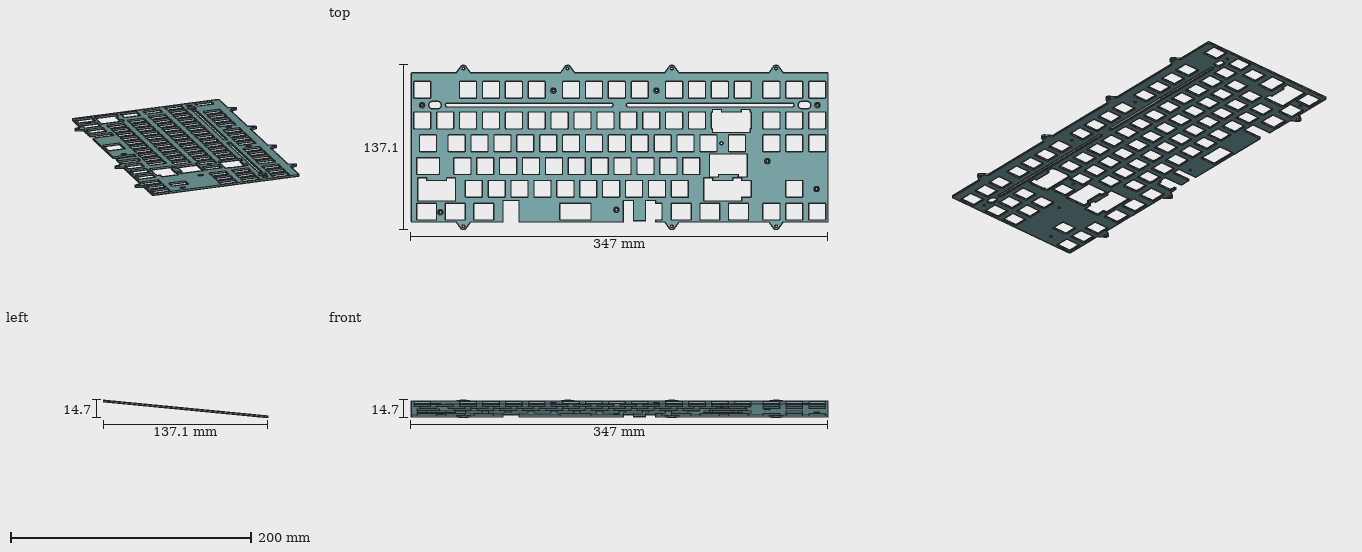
import cadquery as cq
import math


plate_width = 347.0
plate_depth = 125.0
thickness = 1.5
tilt_angle = 5.5
corner_radius = 1.0
cut_height = 3 * thickness

first_column = 0.5
last_column = 17.75
key_span = 328.7
key_pitch = key_span / (last_column - first_column)
first_key_x = -key_span / 2
bridge_half_width = 2.55
switch_size = key_pitch - 2 * bridge_half_width
switch_corner_radius = 0.5

tab_row = 3.5
number_row = tab_row + key_pitch
home_row = tab_row - key_pitch
shift_row = home_row - key_pitch
space_row = shift_row - key_pitch
function_row_gap = 25.7
function_row = number_row + function_row_gap

navigation_columns = [15.75, 16.75, 17.75]


def columns(first, count):
    return [first + i for i in range(count)]


stabilizer_half_width = 15.5
stabilizer_tab_half_width = 8.5
stabilizer_lip = 2.2
stabilizer_near = switch_size / 2 + stabilizer_lip
stabilizer_far = 10.0

short_space_column = 6.875
long_space_column = 7.5
short_space_reach = 2.625
long_space_reach = 3.0
notch_half_width = 4.0
last_notch_shift = 0.52
joined_modifier_column = 10.625
tongue_setback = 1.0

slot_line = 35.5
long_slot_x = 75.5
long_slot_length = 139.5
long_slot_width = 3.0
short_slot_x = 153.8
short_slot_length = 10.5
short_slot_width = 6.2

ear_spacing = 86.8
ear_hole_offset = 3.5
ear_radius = 2.8
ear_root_half_width = 6.0
ear_hole_diameter = 2.2
ear_overlap = 1.7

screw_hole_diameter = 2.2
screw_head_diameter = 4.5
screw_head_angle = 90
screw_places = [
    (-55.2, 47.5),
    (30.5, 47.5),
    (-164.5, slot_line),
    (164.5, slot_line),
    (-149.3, -54.0),
    (-2.8, -52.0),
    (123.0, -11.5),
    (164.0, -34.7),
]
plain_hole_diameter = 2.6
plain_hole_place = (84.7, tab_row)


def column_x(column):
    return first_key_x + (column - first_column) * key_pitch


def block(x_min, x_max, y_min, y_max):
    """Box through the sheet, given by its limits in the flat layout."""
    return (
        cq.Workplane("XY")
        .box(x_max - x_min, y_max - y_min, cut_height)
        .translate(((x_min + x_max) / 2, (y_min + y_max) / 2, 0))
    )


def switch_opening(column, row, last=None):
    """Opening for a switch that may sit anywhere from one column to the last one."""
    half = switch_size / 2
    end = column if last is None else last
    opening = block(column_x(column) - half, column_x(end) + half, row - half, row + half)
    return opening.edges("|Z").fillet(switch_corner_radius)


def stabilizer_opening(column, row, flipped=False):
    """Wide-key opening: a rectangle with a tab reaching in to the edge of the switch."""
    x = column_x(column)
    opening = block(
        x - stabilizer_half_width, x + stabilizer_half_width, row - stabilizer_far, row + stabilizer_near
    )
    tab = block(
        x - stabilizer_tab_half_width,
        x + stabilizer_tab_half_width,
        row + switch_size / 2,
        row + stabilizer_near,
    )
    opening = opening.cut(tab)
    if flipped:
        opening = opening.rotate((x, row, 0), (x, row, 1), 180)
    return opening


def space_notch(column):
    """Spacebar stabilizer notch, open at the front edge."""
    x = column_x(column)
    return block(x - notch_half_width, x + notch_half_width, -plate_depth, space_row + stabilizer_near)


def ear(x, side):
    """Tapered round-nosed ear on the rear (side = 1) or front (side = -1) edge."""
    edge = plate_depth / 2
    nose_y = edge + ear_hole_offset
    root_distance = math.hypot(ear_root_half_width, ear_hole_offset)
    root_angle = math.atan2(-ear_hole_offset, ear_root_half_width)
    tangent_angle = root_angle + math.acos(ear_radius / root_distance)
    tangent_x = ear_radius * math.cos(tangent_angle)
    tangent_y = nose_y + ear_radius * math.sin(tangent_angle)
    body = (
        cq.Workplane("XY")
        .moveTo(-ear_root_half_width, edge - ear_overlap)
        .lineTo(-ear_root_half_width, edge)
        .lineTo(-tangent_x, tangent_y)
        .threePointArc((0, nose_y + ear_radius), (tangent_x, tangent_y))
        .lineTo(ear_root_half_width, edge)
        .lineTo(ear_root_half_width, edge - ear_overlap)
        .close()
        .extrude(thickness / 2, both=True)
    )
    hole = cq.Workplane("XY").center(0, nose_y).circle(ear_hole_diameter / 2).extrude(thickness, both=True)
    body = body.cut(hole)
    if side < 0:
        body = body.mirror("XZ")
    return body.translate((x, 0, 0))


plate = cq.Workplane("XY").box(plate_width, plate_depth, thickness).edges("|Z").fillet(corner_radius)

rear_ears = [-1.5, -0.5, 0.5, 1.5]
front_ears = [-1.5, 0.5, 1.5]
for step in rear_ears:
    plate = plate.union(ear(step * ear_spacing, 1))
for step in front_ears:
    plate = plate.union(ear(step * ear_spacing, -1))

rows = [
    (function_row, [0.5] + columns(2.5, 4) + columns(7.0, 4) + columns(11.5, 4) + navigation_columns),
    (number_row, columns(0.5, 13) + navigation_columns),
    (tab_row, [0.75] + columns(2.0, 12) + [14.25] + navigation_columns),
    (home_row, columns(2.25, 11)),
    (shift_row, columns(2.75, 10) + [16.75]),
    (space_row, navigation_columns),
]
openings = [switch_opening(column, row) for row, row_columns in rows for column in row_columns]

openings.append(switch_opening(0.625, home_row, 0.875))
modifier_columns = [
    (0.625, 0.75),
    (1.875, 2.0),
    (3.125, 3.25),
    (short_space_column, long_space_column),
    (11.75, 11.875),
    (13.0, 13.125),
    (14.25, 14.375),
]
for first, last in modifier_columns:
    openings.append(switch_opening(first, space_row, last))

openings.append(stabilizer_opening(14.0, number_row))
openings.append(switch_opening(13.5, number_row, 14.5))
openings.append(stabilizer_opening(13.875, home_row, flipped=True))
openings.append(stabilizer_opening(1.125, shift_row))
openings.append(stabilizer_opening(13.625, shift_row))
openings.append(switch_opening(13.625, shift_row, 14.5))

long_right_column = long_space_column + long_space_reach
short_right_column = short_space_column + short_space_reach
openings.append(space_notch(short_space_column - short_space_reach))
openings.append(space_notch(long_space_column - long_space_reach))
openings.append(space_notch(short_right_column))
openings.append(space_notch(long_right_column).translate((-last_notch_shift, 0, 0)))

modifier_half = switch_size / 2
joined_modifier = block(
    column_x(long_right_column),
    column_x(joined_modifier_column) + modifier_half - last_notch_shift,
    space_row - modifier_half,
    space_row + modifier_half,
)
openings.append(joined_modifier.edges(">X and |Z").fillet(switch_corner_radius))

tongue_end = tongue_setback - plate_depth / 2
openings.append(block(column_x(short_right_column), column_x(long_right_column), -plate_depth, tongue_end))

for side in (-1, 1):
    for x, length, width in (
        (long_slot_x, long_slot_length, long_slot_width),
        (short_slot_x, short_slot_length, short_slot_width),
    ):
        slot = cq.Workplane("XY").slot2D(length, width).extrude(cut_height / 2, both=True)
        openings.append(slot.translate((side * x, slot_line, 0)))

plate = cq.Workplane(plate.val().cut(*[opening.val() for opening in openings]))

plate = (
    plate.faces(">Z")
    .workplane(origin=(0, 0, 0))
    .pushPoints(screw_places)
    .cskHole(screw_hole_diameter, screw_head_diameter, screw_head_angle)
)
plate = plate.faces(">Z").workplane(origin=(0, 0, 0)).pushPoints([plain_hole_place]).hole(plain_hole_diameter)

result = plate.rotate((0, 0, 0), (1, 0, 0), tilt_angle)